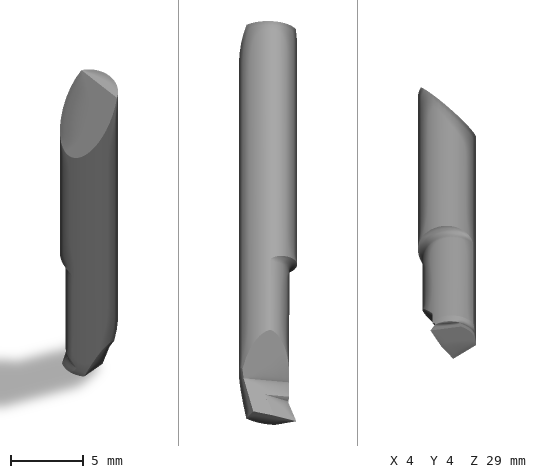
import cadquery as cq
import math


LENGTH = 29.0
RADIUS = 2.0
GRIP_FLAT_TOP_Y = 1.0
GRIP_FLAT_ANGLE = 30.0
CLEAR = 2 * RADIUS

NECK_OFFSET = 0.55
SHOULDER_Z = 11.57
SHOULDER_FILLET = 0.55
UNDERCUT_START_Z = 1.88
UNDERCUT_SHIFT_Y = 0.12

REAR_SLOPE_ANGLE = 30.0
REAR_SLOPE_TOP_Z = 5.83
REAR_FLAT_Y = 0.23
SIDE_TAPER_TOP_Z = 3.57
SIDE_TAPER_LOW_X = 1.15
SIDE_TAPER_LOW_Z = 0.58

TIP_POINT = (-RADIUS, 0, 0)
TIP_TOP_Z = 1.3
EDGE_LEAN = NECK_OFFSET / TIP_TOP_Z
TIP_BASE_AXIS = (-0.03, -0.1)
SEAT_TOP_X = 0.67
SEAT_LOW_X = 0.0
SEAT_LOW_Z = 0.5
FLANK_SLOPE = 0.55
RAKE_SLOPE = 0.15
RAKE_WALL_Z = 1.45
END_SLOPE_X = 0.12
END_SLOPE_Y = 0.13


def slab(plane, points, depth):
    """Prism of an outline, centred on the given plane through the origin."""
    return cq.Workplane(plane).polyline(points).close().extrude(depth / 2, both=True)


def half_space(origin, normal):
    """Large block on the normal side of a plane."""
    size = 2 * LENGTH
    return cq.Workplane(cq.Plane(origin=origin, normal=normal)).rect(size, size).extrude(size)


def slanted_round(low_axis, low_z, high_axis, high_z):
    """Round of the bar radius whose axis moves between two heights."""
    wires = [
        cq.Wire.makeCircle(RADIUS, cq.Vector(*axis, z), cq.Vector(0, 0, 1))
        for axis, z in ((low_axis, low_z), (high_axis, high_z))
    ]
    return cq.Workplane(cq.Solid.makeLoft(wires, True))


def shank():
    """Round bar with the sloping grip flat at its top."""
    bar = cq.Workplane("XY").circle(RADIUS).extrude(LENGTH)
    angle = math.radians(GRIP_FLAT_ANGLE)
    normal = (0, -math.cos(angle), math.sin(angle))
    return bar.cut(half_space((0, GRIP_FLAT_TOP_Y, LENGTH), normal))


def neck_cutter():
    """Ring around the neck with a filleted shoulder at its top."""
    fillet_z = SHOULDER_Z - SHOULDER_FILLET
    fillet_r = RADIUS + SHOULDER_FILLET
    arc_inset = SHOULDER_FILLET * (1 - math.sqrt(0.5))
    return (
        cq.Workplane("XZ")
        .moveTo(RADIUS, UNDERCUT_START_Z)
        .lineTo(RADIUS, fillet_z)
        .threePointArc((RADIUS + arc_inset, SHOULDER_Z - arc_inset), (fillet_r, SHOULDER_Z))
        .lineTo(CLEAR, SHOULDER_Z)
        .lineTo(CLEAR, UNDERCUT_START_Z)
        .close()
        .revolve(360, (0, 0, 0), (0, 1, 0))
        .translate((NECK_OFFSET, 0, 0))
    )


def head_cutter():
    """Material outside the undercut and the flare below the neck."""
    neck_axis = (NECK_OFFSET, 0)
    waist_axis = (NECK_OFFSET, UNDERCUT_SHIFT_Y)
    block = cq.Workplane("XY").rect(2 * CLEAR, 2 * CLEAR).extrude(UNDERCUT_START_Z)
    undercut = slanted_round(waist_axis, TIP_TOP_Z, neck_axis, UNDERCUT_START_Z)
    flare = slanted_round(TIP_BASE_AXIS, 0, waist_axis, TIP_TOP_Z)
    return block.cut(undercut).cut(flare)


def rear_cutter():
    """Sloping run-out and flat on the +Y side of the lower end."""
    drop = (RADIUS - REAR_FLAT_Y) / math.tan(math.radians(REAR_SLOPE_ANGLE))
    outline = [
        (REAR_FLAT_Y, 0),
        (REAR_FLAT_Y, REAR_SLOPE_TOP_Z - drop),
        (RADIUS, REAR_SLOPE_TOP_Z),
        (CLEAR, REAR_SLOPE_TOP_Z),
        (CLEAR, 0),
    ]
    return slab("YZ", outline, 2 * CLEAR)


def side_taper_cutter():
    """Sloping flat on the +X side of the lower end."""
    run = RADIUS - SIDE_TAPER_LOW_X
    drop = SIDE_TAPER_TOP_Z - SIDE_TAPER_LOW_Z
    return half_space((RADIUS, 0, SIDE_TAPER_TOP_Z), (drop, 0, -run))


def end_cutter():
    """Material below the doubly inclined end face."""
    return half_space(TIP_POINT, (END_SLOPE_X, -END_SLOPE_Y, -1))


def seat():
    """Recess that holds the tip, open towards -X and downwards."""
    slope = (SEAT_TOP_X - SEAT_LOW_X) / (TIP_TOP_Z - SEAT_LOW_Z)
    base_x = SEAT_LOW_X - slope * SEAT_LOW_Z
    outline = [(-CLEAR, 0), (base_x, 0), (SEAT_TOP_X, TIP_TOP_Z), (-CLEAR, TIP_TOP_Z)]
    return slab("XZ", outline, 2 * CLEAR)


def rake_cutter():
    """Material in front of the rake face, below a 45 degree end wall."""
    rake_normal = (-RAKE_SLOPE, 1, EDGE_LEAN * RAKE_SLOPE)
    above_rake = half_space(TIP_POINT, rake_normal)
    below_wall = half_space((0, 0, RAKE_WALL_Z), (0, 1, -1))
    return above_rake.intersect(below_wall)


def flank_cutter():
    """Material outside the side cutting edge and its relief."""
    return half_space(TIP_POINT, (-1, -FLANK_SLOPE, EDGE_LEAN))


blank = shank().cut(neck_cutter()).cut(head_cutter()).cut(rear_cutter())
blank = blank.cut(side_taper_cutter()).cut(end_cutter()).cut(rake_cutter())

bar = blank.cut(seat())
cutting_tip = blank.intersect(seat()).cut(flank_cutter())

result = cq.Compound.makeCompound([bar.val(), cutting_tip.val()])